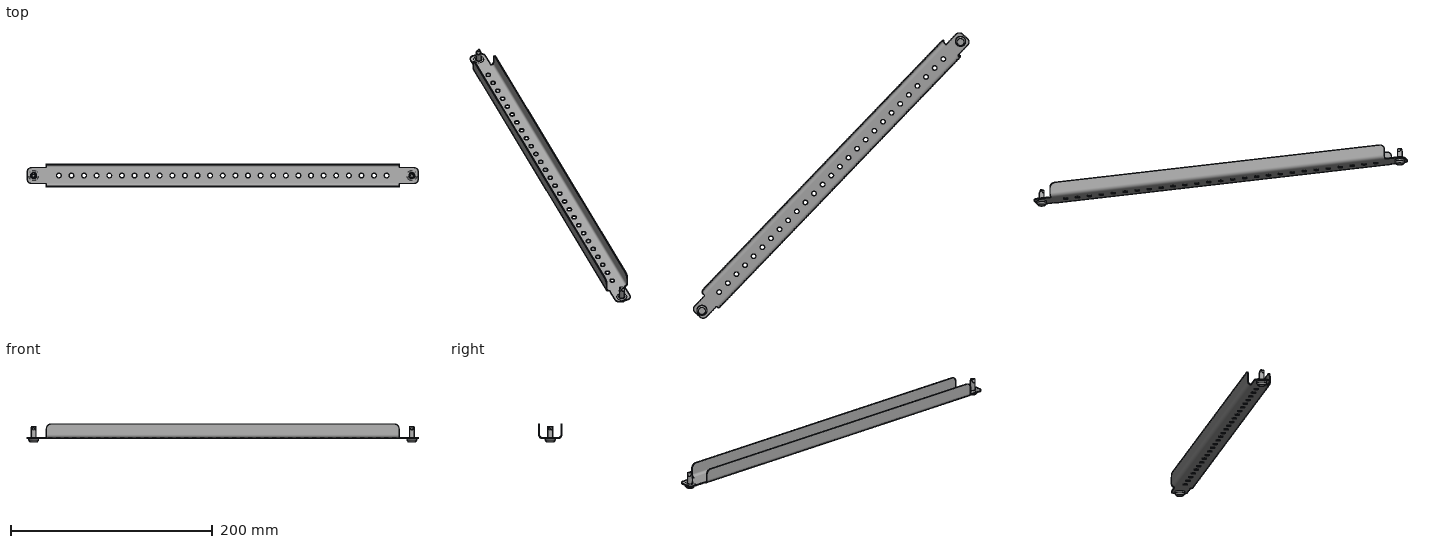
import cadquery as cq

rail_length = 388.0
rail_width = 23.0
rail_height = 14.5
sheet = 1.0
bend_inner_radius = 2.5
bend_outer_radius = bend_inner_radius + sheet
flange_length = 350.0
flange_corner_radius = 5.0
tongue_width = rail_width - 2 * bend_outer_radius
tongue_corner_radius = 4.5

hole_pitch = 12.5
hole_count = 27
hole_diameter = 4.5
screw_spacing = (hole_count + 3) * hole_pitch

overall_height = 18.19
shank_diameter = 5.0
screw_hole_diameter = 6.0
shank_length = 12.0
tip_length = 3.5
tip_flat_count = 3
tip_inner_radius = shank_diameter / 4
head_diameter = 10.0
head_height = overall_height - rail_height
head_rim_height = 1.7
head_crown_diameter = 7.0

screw_centres = [(-screw_spacing / 2, 0), (screw_spacing / 2, 0)]
screw_turns = [0, 180]


def make_channel():
    """U section with rounded bends, its underside at Z = 0."""
    outer = (
        cq.Workplane("XY")
        .box(flange_length, rail_width, rail_height, centered=(True, True, False))
        .edges("|X and <Z")
        .fillet(bend_outer_radius)
    )
    inner = (
        cq.Workplane("XY")
        .workplane(offset=sheet)
        .box(flange_length, rail_width - 2 * sheet, rail_height, centered=(True, True, False))
        .edges("|X and <Z")
        .fillet(bend_inner_radius)
    )
    channel = outer.cut(inner)
    return channel.edges("|Y and >Z").fillet(flange_corner_radius)


def make_floor():
    """Flat strip that runs the full length and forms both end tongues."""
    return (
        cq.Workplane("XY")
        .box(rail_length, tongue_width, sheet, centered=(True, True, False))
        .edges("|Z")
        .fillet(tongue_corner_radius)
    )


def make_rail():
    rail = make_channel().union(make_floor())
    small_holes = (
        cq.Workplane("XY")
        .rarray(hole_pitch, 1, hole_count, 1)
        .circle(hole_diameter / 2)
        .extrude(sheet)
    )
    screw_holes = (
        cq.Workplane("XY")
        .pushPoints(screw_centres)
        .circle(screw_hole_diameter / 2)
        .extrude(sheet)
    )
    return rail.cut(small_holes).cut(screw_holes)


def make_tip_cutter():
    """Wedge on the +Y side of the shank whose slanted face cuts one flat of the tip."""
    shank_radius = shank_diameter / 2
    return (
        cq.Workplane("YZ")
        .moveTo(shank_radius, shank_length - tip_length)
        .lineTo(tip_inner_radius, shank_length)
        .lineTo(shank_radius, shank_length)
        .close()
        .extrude(shank_radius, both=True)
    )


def make_screw(centre, turn):
    """Screw with a tapered head and slanted flats that bring its tip to a triangle."""
    shank_radius = shank_diameter / 2
    profile = (
        cq.Workplane("XZ")
        .moveTo(0, -head_height)
        .lineTo(head_crown_diameter / 2, -head_height)
        .lineTo(head_diameter / 2, -head_rim_height)
        .lineTo(head_diameter / 2, 0)
        .lineTo(shank_radius, 0)
        .lineTo(shank_radius, shank_length)
        .lineTo(0, shank_length)
        .close()
    )
    screw = profile.revolve(360, (0, 0, 0), (0, 1, 0))
    for index in range(tip_flat_count):
        angle = index * 360 / tip_flat_count
        screw = screw.cut(make_tip_cutter().rotate((0, 0, 0), (0, 0, 1), angle))
    return screw.rotate((0, 0, 0), (0, 0, 1), turn).translate((*centre, 0))


rail = make_rail()
screws = [make_screw(centre, turn) for centre, turn in zip(screw_centres, screw_turns)]

result = cq.Compound.makeCompound([rail.val(), *[screw.val() for screw in screws]])